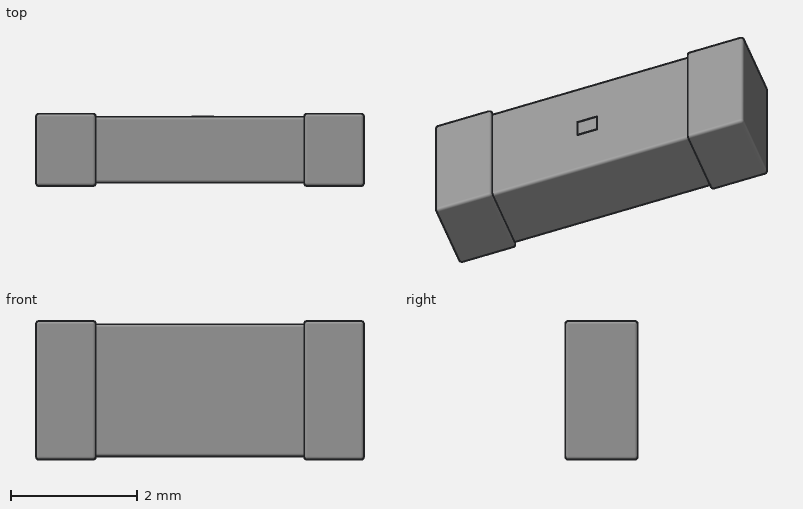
import cadquery as cq

total_length = 5.2
terminal_depth = 1.15
terminal_height = 2.2

terminal_length = 0.95
step = 0.05
edge_radius = step

body_length = total_length - 2 * terminal_length
body_depth = terminal_depth - 2 * step
body_height = terminal_height - 2 * step

mark_width = 0.33
mark_height = 0.33
mark_thickness = 0.01
mark_center_x = 0.045


def make_body():
    """Central block, rounded along its length and flat where it meets the terminals."""
    block = cq.Workplane("XY").box(body_length, body_depth, body_height)
    return block.edges("|X").fillet(edge_radius)


def make_terminal(side):
    """End block with every edge rounded; side is -1 or +1 along X."""
    center_x = side * (total_length - terminal_length) / 2
    block = cq.Workplane("XY").box(terminal_length, terminal_depth, terminal_height)
    return block.edges().fillet(edge_radius).translate((center_x, 0, 0))


def make_mark():
    """Thin plate lying on the +Y face of the body."""
    center_y = (body_depth + mark_thickness) / 2
    plate = cq.Workplane("XY").box(mark_width, mark_thickness, mark_height)
    return plate.translate((mark_center_x, center_y, 0))


body = make_body()
terminals = [make_terminal(side) for side in (-1, 1)]
mark = make_mark()

result = cq.Compound.makeCompound(
    [body.val(), *[terminal.val() for terminal in terminals], mark.val()]
)